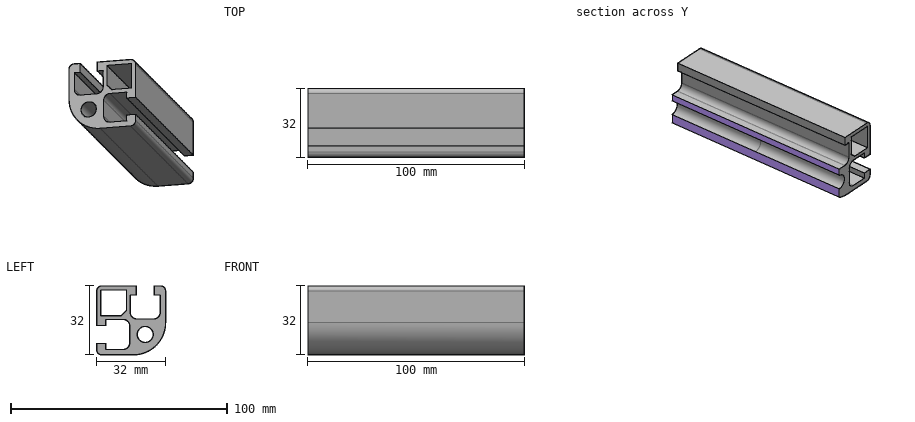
import cadquery as cq

length = 100.0
section_side = 32.0
half_side = section_side / 2
edge_radius = 2.5
large_corner_radius = 15.0

bore_distance = 22.5
slot_offset = half_side - bore_distance
slot_opening = 8.2
slot_inner_width = 13.8
lip_thickness = 4.3
slot_depth = 15.3
slot_floor_radius = 3.0

chamber_wall = 2.0
chamber_side = 11.8
chamber_chamfer = 2.4

bore_diameter = 7.3


def extrude_rectangle(y_min, y_max, z_min, z_max):
    """Full-length bar with the given extents in Y and Z."""
    return cq.Workplane("XY").box(length, y_max - y_min, z_max - z_min).translate(
        (0, (y_min + y_max) / 2, (z_min + z_max) / 2)
    )


def make_body():
    """Square bar with three small rounded edges and one large one."""
    bar = cq.Workplane("XY").box(length, section_side, section_side)
    bar = bar.edges("|X and (>Y or >Z)").fillet(edge_radius)
    return bar.edges("|X and <Y and <Z").fillet(large_corner_radius)


def make_top_slot():
    """T-slot cutter open to +Z, with rounded floor corners."""
    floor_z = half_side - slot_depth
    lip_z = half_side - lip_thickness
    inner_half = slot_inner_width / 2
    opening_half = slot_opening / 2
    cavity = extrude_rectangle(slot_offset - inner_half, slot_offset + inner_half, floor_z, lip_z)
    cavity = cavity.edges("|X and <Z").fillet(slot_floor_radius)
    mouth = extrude_rectangle(slot_offset - opening_half, slot_offset + opening_half, lip_z, half_side)
    return cavity.union(mouth)


def make_side_slot():
    """The top slot mirrored in the line Y = Z, so that it opens to +Y."""
    return make_top_slot().rotate((0, 0, 0), (1, 0, 0), -90).mirror("XY")


def make_chamber():
    """Square chamber cutter, chamfered on the edge nearest the section centre."""
    outer = half_side - chamber_wall
    inner = outer - chamber_side
    chamber = extrude_rectangle(inner, outer, inner, outer)
    return chamber.edges("|X and <Y and <Z").chamfer(chamber_chamfer)


def make_bore():
    """Round bore cutter where the two slot centrelines cross."""
    bore = cq.Workplane("YZ").center(slot_offset, slot_offset).circle(bore_diameter / 2)
    return bore.extrude(length / 2, both=True)


result = make_body()
for cutter in (make_top_slot(), make_side_slot(), make_chamber(), make_bore()):
    result = result.cut(cutter)